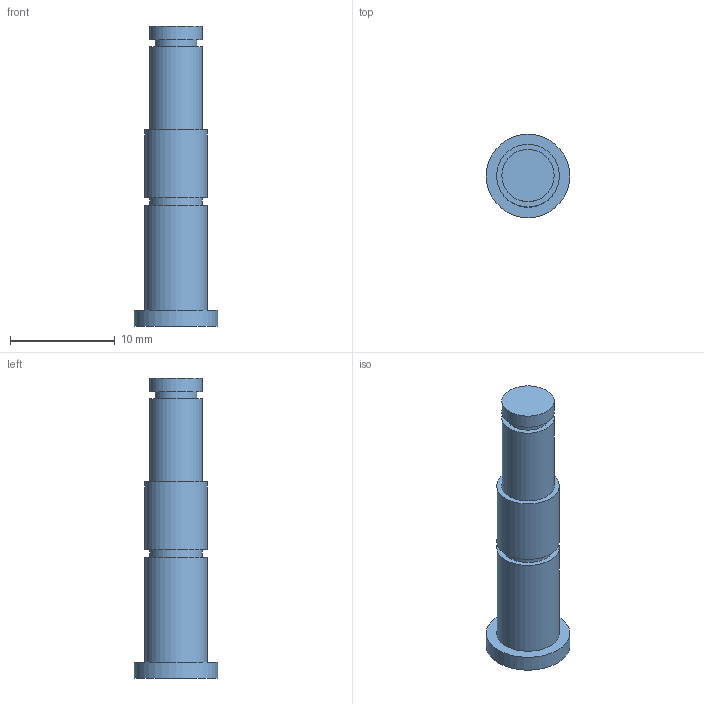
import cadquery as cq

total_height = 28.69

flange_diameter = 8.0
flange_height = 1.5

body_diameter = 6.0
lower_body_length = 10.05
body_groove_diameter = 5.0
body_groove_width = 0.7
upper_body_length = 6.5

tip_diameter = 5.0
tip_length = 7.94
tip_groove_diameter = 4.0
tip_groove_width = 0.7

cap_height = total_height - (
    flange_height
    + lower_body_length
    + body_groove_width
    + upper_body_length
    + tip_length
    + tip_groove_width
)

sections = [
    (flange_diameter, flange_height),
    (body_diameter, lower_body_length),
    (body_groove_diameter, body_groove_width),
    (body_diameter, upper_body_length),
    (tip_diameter, tip_length),
    (tip_groove_diameter, tip_groove_width),
    (tip_diameter, cap_height),
]


def stack_sections(sections):
    """Stack coaxial cylinders on top of each other along Z."""
    pin = cq.Workplane("XY")
    base_z = 0.0
    for diameter, length in sections:
        section = cq.Workplane("XY").workplane(offset=base_z).circle(diameter / 2).extrude(length)
        pin = pin.union(section)
        base_z += length
    return pin


result = stack_sections(sections)